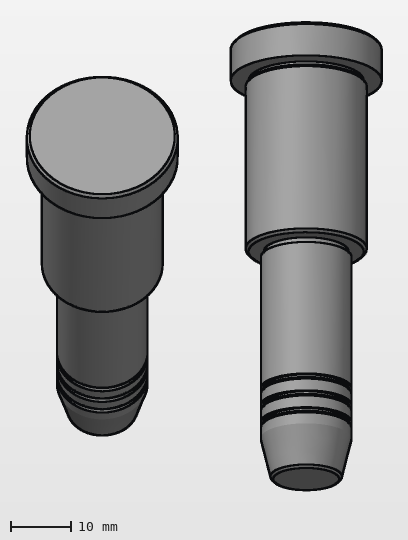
import cadquery as cq

total_length = 76.0
head_radius = 12.5
head_height = 6.0
edge_chamfer = 0.5

body_radius = 10.0
body_length = 30.0

pin_radius = 7.5
neck_length = 1.0
groove_depth = 0.45
groove_root_height = 0.45
groove_pitch = 3.0
groove_count = 3
top_groove_z = 15.9
taper_height = 7.1
tip_radius = 5.9
tip_chamfer = 0.45

head_bottom = total_length - head_height
body_bottom = head_bottom - body_length


def cylinder(radius, bottom, height):
    return cq.Workplane("XY").workplane(offset=bottom).circle(radius).extrude(height)


def ring_groove(radius, top):
    """Ring to cut from a shaft: square top, straight root and 45-degree lower flank."""
    return (
        cq.Workplane("XZ")
        .moveTo(radius, top)
        .lineTo(radius - groove_depth, top)
        .lineTo(radius - groove_depth, top - groove_root_height)
        .lineTo(radius, top - groove_root_height - groove_depth)
        .close()
        .revolve(360, (0, 0, 0), (0, 1, 0))
    )


head = cylinder(head_radius, head_bottom, head_height).faces(">Z").chamfer(edge_chamfer)

relief = cylinder(body_radius - edge_chamfer, head_bottom - edge_chamfer, edge_chamfer)
body = cylinder(body_radius, body_bottom, body_length - edge_chamfer)
body = body.faces("<Z or >Z").chamfer(edge_chamfer)

neck = cylinder(pin_radius - edge_chamfer, body_bottom - neck_length, neck_length)
shank = cylinder(pin_radius, taper_height, body_bottom - neck_length - taper_height)
tip = (
    cq.Workplane("XZ")
    .moveTo(0, 0)
    .lineTo(tip_radius - tip_chamfer, 0)
    .lineTo(tip_radius, tip_chamfer)
    .lineTo(pin_radius, taper_height)
    .lineTo(0, taper_height)
    .close()
    .revolve(360, (0, 0, 0), (0, 1, 0))
)

result = head.union(relief).union(body).union(neck).union(shank).union(tip)
for index in range(groove_count):
    result = result.cut(ring_groove(pin_radius, top_groove_z - index * groove_pitch))